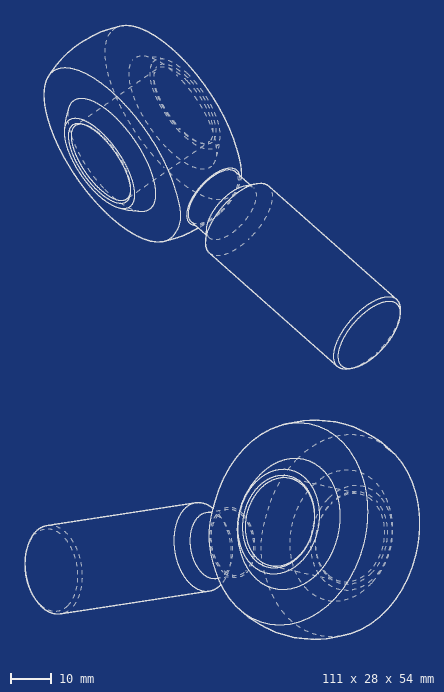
import cadquery as cq
import math


eye_diameter = 54.0
eye_width = 20.0
collar_start_x = 23.7
collar_end_x = 26.3
collar_end_diameter = 17.4

ball_width = 28.0
ball_face_diameter = 26.0
bore_diameter = 22.0
bore_chamfer = 0.5

shank_end_x = 84.0
shank_diameter = 22.0
shank_end_chamfer = 0.8
neck_diameter = 16.4
neck_end_x = 33.0
shoulder_chamfer = (shank_diameter - neck_diameter) / 2


def flat_slab(width):
    """Slab centred on the XZ plane that trims a turned body to flat faces width apart."""
    return cq.Workplane("XY").box(eye_diameter, width, eye_diameter)


def make_eye():
    """Sphere turned about X with a conical collar toward the neck, trimmed to the eye width."""
    eye_radius = eye_diameter / 2
    collar_start_radius = math.sqrt(eye_radius**2 - collar_start_x**2)
    profile = (
        cq.Workplane("XZ")
        .moveTo(-eye_radius, 0)
        .threePointArc((0, eye_radius), (collar_start_x, collar_start_radius))
        .lineTo(collar_end_x, collar_end_diameter / 2)
        .lineTo(collar_end_x, 0)
        .close()
    )
    return profile.revolve(360, (0, 0, 0), (1, 0, 0)).intersect(flat_slab(eye_width))


def make_ball():
    """Inner ball turned about Y, its flat faces standing proud of the eye."""
    half_width = ball_width / 2
    face_radius = ball_face_diameter / 2
    ball_radius = math.hypot(face_radius, half_width)
    profile = (
        cq.Workplane("XY")
        .moveTo(0, -half_width)
        .lineTo(face_radius, -half_width)
        .threePointArc((ball_radius, 0), (face_radius, half_width))
        .lineTo(0, half_width)
        .close()
    )
    return profile.revolve(360, (0, 0, 0), (0, 1, 0))


def make_shank():
    """Neck, conical shoulder and cylindrical shank turned about X."""
    neck_radius = neck_diameter / 2
    shank_radius = shank_diameter / 2
    profile = (
        cq.Workplane("XZ")
        .moveTo(0, 0)
        .lineTo(0, neck_radius)
        .lineTo(neck_end_x, neck_radius)
        .lineTo(neck_end_x + shoulder_chamfer, shank_radius)
        .lineTo(shank_end_x - shank_end_chamfer, shank_radius)
        .lineTo(shank_end_x, shank_radius - shank_end_chamfer)
        .lineTo(shank_end_x, 0)
        .close()
    )
    return profile.revolve(360, (0, 0, 0), (1, 0, 0))


def make_bore():
    """Through bore along Y with a chamfer at both mouths."""
    bore_radius = bore_diameter / 2
    mouth_radius = bore_radius + bore_chamfer
    half_width = ball_width / 2
    profile = (
        cq.Workplane("XY")
        .moveTo(0, -half_width)
        .lineTo(mouth_radius, -half_width)
        .lineTo(bore_radius, -half_width + bore_chamfer)
        .lineTo(bore_radius, half_width - bore_chamfer)
        .lineTo(mouth_radius, half_width)
        .lineTo(0, half_width)
        .close()
    )
    return profile.revolve(360, (0, 0, 0), (0, 1, 0))


result = make_eye().union(make_shank()).union(make_ball()).cut(make_bore())